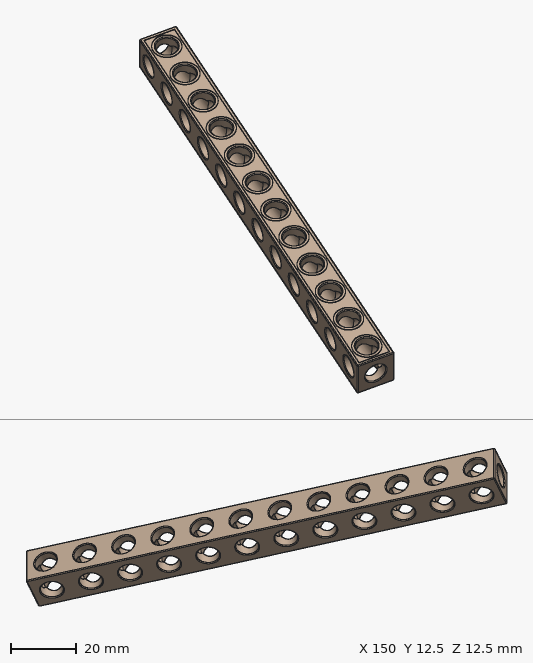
import cadquery as cq

cell = 12.5
cell_count = 12
hole_diameter = 7.0
wall = 1.1
chamfer = 0.3
recess_depth = 0.2

length = cell * cell_count
hole_radius = hole_diameter / 2
ring_radius = hole_radius + wall
first_center = (cell - length) / 2
centers = [first_center + i * cell for i in range(cell_count)]


def beam():
    """Solid square bar along X, centred on the origin, with all edges chamfered."""
    return cq.Workplane("XY").box(length, cell, cell).edges().chamfer(chamfer)


def top_recess():
    """Shallow recess inside the top rim that leaves a ring standing around every hole."""
    floor = cq.Workplane("XY").workplane(offset=cell / 2 - recess_depth)
    recess = floor.rect(length - 2 * wall, cell - 2 * wall).extrude(recess_depth)
    hole_positions = [(x, 0) for x in centers]
    rings = floor.pushPoints(hole_positions).circle(ring_radius).extrude(recess_depth)
    return recess.cut(rings)


def bore(plane, depth):
    """Cutter for a through-hole centred on the origin, normal to the plane, chamfered at both mouths."""
    cutter = cq.Workplane(plane).circle(hole_radius).extrude(depth / 2, both=True)
    for side in (1, -1):
        cone = (
            cq.Workplane(plane)
            .workplane(offset=side * depth / 2)
            .circle(hole_radius + chamfer)
            .workplane(offset=-side * chamfer)
            .circle(hole_radius)
            .loft(ruled=True)
        )
        cutter = cutter.union(cone)
    return cutter


lengthwise_bore = bore("YZ", length)
sideways_bore = bore("XZ", cell)
vertical_bore = bore("XY", cell)

result = beam().cut(top_recess()).cut(lengthwise_bore)
for x in centers:
    result = result.cut(sideways_bore.translate((x, 0, 0)))
    result = result.cut(vertical_bore.translate((x, 0, 0)))